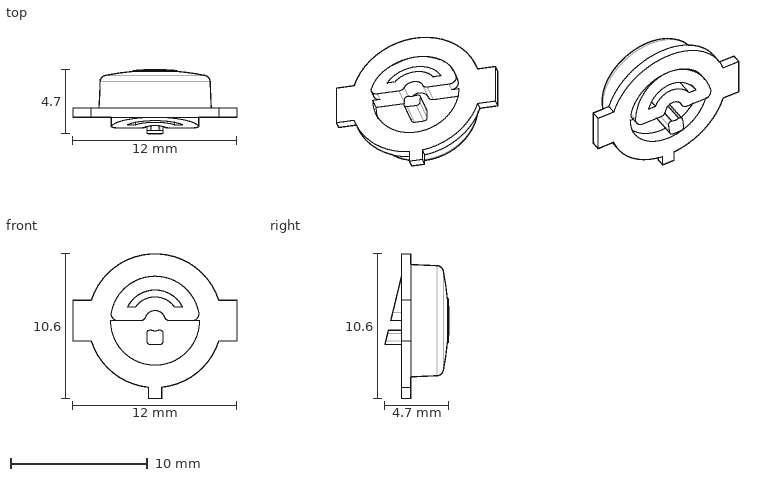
import cadquery as cq
import math

flange_radius = 4.9
flange_thickness = 0.7
side_tab_reach = 6.0
side_tab_height = 3.0
bottom_tab_reach = 5.69
bottom_tab_width = 0.98

body_base_radius = 4.12
rim_radius = 4.02
rim_y = 2.99
rim_fillet_radius = 0.5
dome_apex_y = 3.43
button_radius = 1.61
button_rise = 0.06

recess_radius = 3.25
recess_depth = 1.0
post_reach = 1.21
post_half_width = 0.6
post_top_z = -0.68
post_bottom_z = -1.74
post_corner_radius = 0.25
notch_radius = 0.75
notch_blend_radius = 0.4
pad_corner_radius = 0.5
slot_outer_radius = 2.25
slot_inner_radius = 1.74
slot_bottom_z = 0.98
slot_depth = recess_depth

slope = post_reach / (recess_radius - post_bottom_z)


def front_plane(y):
    """Sketch plane at depth y; local axes are X and Z, extrusion runs toward -Y."""
    return cq.Workplane("XZ", origin=(0, y, 0))


def disc(radius, back_y, front_y):
    return front_plane(back_y).circle(radius).extrude(back_y - front_y)


def block(x_min, x_max, z_min, z_max, back_y, front_y):
    size = (x_max - x_min, back_y - front_y, z_max - z_min)
    return cq.Workplane("XY").box(*size, centered=False).translate((x_min, front_y, z_min))


def make_flange():
    flange = disc(flange_radius, flange_thickness, 0)
    side_tabs = block(
        -side_tab_reach, side_tab_reach, -side_tab_height / 2, side_tab_height / 2, flange_thickness, 0
    )
    half_width = bottom_tab_width / 2
    bottom_tab = block(-half_width, half_width, -bottom_tab_reach, 0, flange_thickness, 0)
    return flange.union(side_tabs).union(bottom_tab)


def dome_y(radius):
    """Depth of the spherical crown at a distance from the axis."""
    sag = dome_apex_y - rim_y
    sphere_radius = (rim_radius**2 + sag**2) / (2 * sag)
    return dome_apex_y - sphere_radius + math.sqrt(sphere_radius**2 - radius**2)


def revolve_about_y(profile):
    return profile.close().revolve(360, (0, 0, 0), (0, 1, 0))


def make_body():
    dome_middle = rim_radius / 2
    shell = revolve_about_y(
        cq.Workplane("XY")
        .moveTo(0, flange_thickness)
        .lineTo(body_base_radius, flange_thickness)
        .lineTo(rim_radius, rim_y)
        .threePointArc((dome_middle, dome_y(dome_middle)), (0, dome_apex_y))
    )
    shell = shell.edges("%CIRCLE and (not <Y)").fillet(rim_fillet_radius)
    button_middle = button_radius / 2
    button = (
        cq.Workplane("XY")
        .moveTo(0, rim_y)
        .lineTo(button_radius, rim_y)
        .lineTo(button_radius, dome_y(button_radius) + button_rise)
        .threePointArc(
            (button_middle, dome_y(button_middle) + button_rise), (0, dome_apex_y + button_rise)
        )
    )
    return shell.union(revolve_about_y(button))


def make_pad_prism():
    """Half disc with a round notch, reaching from the recess floor to the post tip."""
    upper_half = block(-recess_radius, recess_radius, 0, recess_radius, recess_depth, -post_reach)
    pad = disc(recess_radius, recess_depth, -post_reach).intersect(upper_half)
    pad = pad.edges("|Y").fillet(pad_corner_radius)
    pad = pad.cut(disc(notch_radius, recess_depth, -post_reach))
    margin = 0.12
    notch_corners = cq.selectors.BoxSelector(
        (-notch_radius - margin, -post_reach - margin, -margin),
        (notch_radius + margin, recess_depth + margin, margin),
    )
    return pad.edges("|Y").edges(notch_corners).fillet(notch_blend_radius)


def make_post_prism():
    """Rounded post whose top is scooped concentric with the notch."""
    post = block(
        -post_half_width, post_half_width, post_bottom_z, post_top_z, recess_depth, -post_reach
    )
    post = post.edges("|Y").fillet(post_corner_radius)
    return post.cut(disc(notch_radius, recess_depth, -post_reach))


def make_recess(pad):
    """Lower half disc plus the notch area that the pad leaves open."""
    lower_half = block(-recess_radius, recess_radius, -recess_radius, 0, recess_depth, 0)
    recess = disc(recess_radius, recess_depth, 0).intersect(lower_half)
    notch_half_width = notch_radius + 2 * notch_blend_radius
    notch = block(-notch_half_width, notch_half_width, 0, notch_radius, recess_depth, 0).cut(pad)
    return recess.union(notch)


def make_slot():
    ring = disc(slot_outer_radius, slot_depth, -post_reach).cut(
        disc(slot_inner_radius, slot_depth, -post_reach)
    )
    above = block(
        -slot_outer_radius, slot_outer_radius, slot_bottom_z, slot_outer_radius, slot_depth, -post_reach
    )
    return ring.intersect(above)


def make_slope_limit():
    """Wedge of all material behind the sloped front plane."""
    low_z = -recess_radius
    return (
        cq.Workplane("YZ", origin=(-recess_radius, 0, 0))
        .moveTo(0, recess_radius)
        .lineTo(-slope * (recess_radius - low_z), low_z)
        .lineTo(recess_depth, low_z)
        .lineTo(recess_depth, recess_radius)
        .close()
        .extrude(2 * recess_radius)
    )


pad_prism = make_pad_prism()
front_details = pad_prism.union(make_post_prism()).intersect(make_slope_limit())
result = make_flange().union(make_body()).cut(make_recess(pad_prism))
result = result.union(front_details).cut(make_slot())